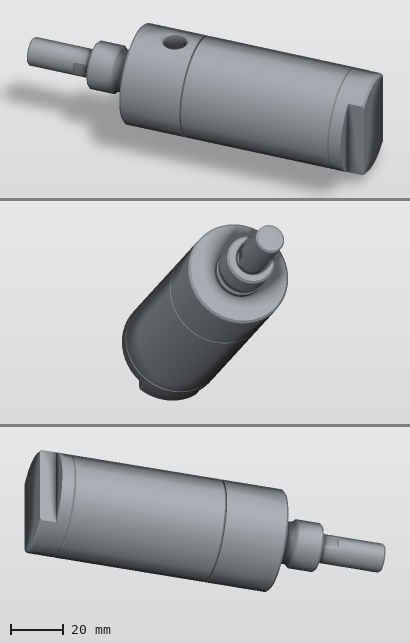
import cadquery as cq
import math

TOTAL_LENGTH = 138.1
BODY_RADIUS = 19.82
EDGE_CHAMFER = 0.8

ROD_RADIUS = 5.6
ROD_TIP_CHAMFER = 0.7
FLATS_START = 18.8
FLATS_WIDTH = 9.7

NOSE_START = 25.4
NOSE_RADIUS = 9.46
NOSE_CHAMFER = 0.8
UNDERCUT_START = 35.5
UNDERCUT_END = 39.8
UNDERCUT_DEPTH = 1.2
BORE_CHAMFER = 0.8
HEAD_START = 42.3
HEAD_END = 66.7

PORT_X = 58.0
PORT_MOUTH_RADIUS = 5.4
PORT_COUNTERSINK = 0.8
PORT_AXIS_RADIUS = 2.6

BARREL_END = 127.0
BARREL_CHAMFER = 0.8
TONGUE_START = 131.8
TONGUE_WIDTH = 22.1


def cylinder_x(start, end, radius):
    """Cylinder about the X axis between two X positions."""
    return cq.Workplane("YZ", origin=(start, 0, 0)).circle(radius).extrude(end - start)


def side_blocks(start, end, gap, reach):
    """Two blocks, on the +Y and -Y sides, that leave a slab of thickness gap between them."""
    depth = reach - gap / 2
    centre_y = gap / 2 + depth / 2
    return (
        cq.Workplane("XY", origin=((start + end) / 2, 0, 0))
        .pushPoints([(0, centre_y), (0, -centre_y)])
        .box(end - start, depth, 2 * reach)
    )


def make_rod():
    rod = cylinder_x(0, HEAD_END, ROD_RADIUS)
    rod = rod.faces("<X").chamfer(ROD_TIP_CHAMFER)
    flats = side_blocks(FLATS_START, NOSE_START, FLATS_WIDTH, 2 * ROD_RADIUS)
    return rod.cut(flats)


def head_blank():
    """Turned outline of the head, revolved about X."""
    floor_radius = NOSE_RADIUS - UNDERCUT_DEPTH
    arc_radius = UNDERCUT_DEPTH
    arc_centre_radius = floor_radius + arc_radius
    slant = math.sqrt(0.5)

    front_arc_rise = arc_radius * (1 - slant)
    front_arc_start = UNDERCUT_START + UNDERCUT_DEPTH - front_arc_rise
    front_arc_end = front_arc_start + arc_radius * slant
    half_slant = math.radians(45) / 2
    front_arc_mid = (
        front_arc_end - arc_radius * math.sin(half_slant),
        arc_centre_radius - arc_radius * math.cos(half_slant),
    )

    rear_arc_start = UNDERCUT_END - arc_radius
    rear_arc_mid = (
        rear_arc_start + arc_radius * slant,
        arc_centre_radius - arc_radius * slant,
    )

    return (
        cq.Workplane("XY")
        .moveTo(NOSE_START, 0)
        .lineTo(NOSE_START, NOSE_RADIUS - NOSE_CHAMFER)
        .lineTo(NOSE_START + NOSE_CHAMFER, NOSE_RADIUS)
        .lineTo(UNDERCUT_START, NOSE_RADIUS)
        .lineTo(front_arc_start, floor_radius + front_arc_rise)
        .threePointArc(front_arc_mid, (front_arc_end, floor_radius))
        .lineTo(rear_arc_start, floor_radius)
        .threePointArc(rear_arc_mid, (UNDERCUT_END, NOSE_RADIUS))
        .lineTo(HEAD_START, NOSE_RADIUS)
        .lineTo(HEAD_START, BODY_RADIUS - EDGE_CHAMFER)
        .lineTo(HEAD_START + EDGE_CHAMFER, BODY_RADIUS)
        .lineTo(HEAD_END, BODY_RADIUS)
        .lineTo(HEAD_END, 0)
        .close()
        .revolve(360, (0, 0, 0), (1, 0, 0))
    )


def rod_bore():
    """Through bore for the rod with a chamfered mouth."""
    mouth = cq.Solid.makeCone(
        ROD_RADIUS + BORE_CHAMFER, ROD_RADIUS, BORE_CHAMFER,
        pnt=cq.Vector(NOSE_START, 0, 0), dir=cq.Vector(1, 0, 0),
    )
    return cylinder_x(NOSE_START, HEAD_END, ROD_RADIUS).union(cq.Workplane(mouth))


def port():
    """Tapered port down to the rod axis with a 45 degree countersink at its mouth."""
    taper_top = BODY_RADIUS - PORT_COUNTERSINK
    return (
        cq.Workplane("XZ", origin=(PORT_X, 0, 0))
        .polyline([
            (0, 0),
            (PORT_AXIS_RADIUS, 0),
            (PORT_MOUTH_RADIUS - PORT_COUNTERSINK, taper_top),
            (PORT_MOUTH_RADIUS, BODY_RADIUS),
            (0, BODY_RADIUS),
        ])
        .close()
        .revolve(360, (0, 0, 0), (0, 1, 0))
    )


def make_head():
    return head_blank().cut(rod_bore()).cut(port())


def make_barrel():
    barrel = cylinder_x(HEAD_END, BARREL_END, BODY_RADIUS)
    return barrel.faces("<X or >X").chamfer(BARREL_CHAMFER)


def make_cap():
    """Rear cap, cut away on both sides to leave a flat mounting tongue."""
    cap = cylinder_x(BARREL_END, TOTAL_LENGTH, BODY_RADIUS)
    cap = cap.faces(">X").chamfer(EDGE_CHAMFER)
    return cap.cut(side_blocks(TONGUE_START, TOTAL_LENGTH, TONGUE_WIDTH, 2 * BODY_RADIUS))


rod = make_rod()
head = make_head()
barrel = make_barrel()
cap = make_cap()

result = cq.Compound.makeCompound([rod.val(), head.val(), barrel.val(), cap.val()])